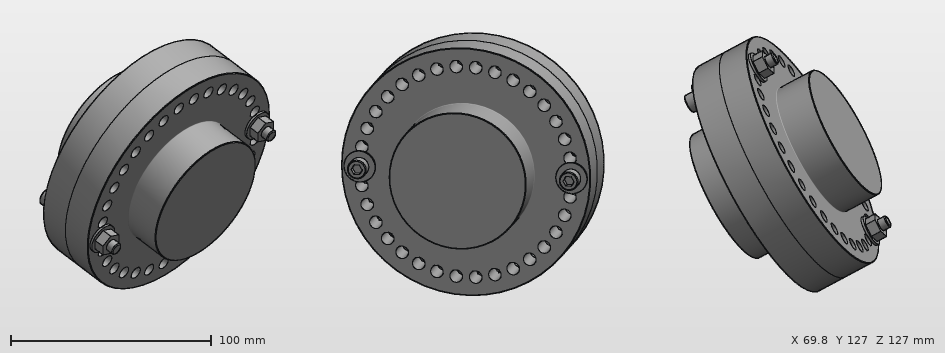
import cadquery as cq
import math

FLANGE_DIAMETER = 127.0
OVERALL_LENGTH = 69.8
FLANGE_THICKNESS = 15.9
BOSS_DIAMETER = 69.8
BOSS_LENGTH = OVERALL_LENGTH / 2 - FLANGE_THICKNESS
EDGE_CHAMFER = 0.4
BOSS_ROOT_FILLET = 0.4

BOLT_CIRCLE_DIAMETER = 108.0
LEFT_HOLE_COUNT = 34
RIGHT_HOLE_COUNT = 32
HOLE_DIAMETER = 6.4
BOLT_POSITIONS = (-BOLT_CIRCLE_DIAMETER / 2, BOLT_CIRCLE_DIAMETER / 2)

WASHER_DIAMETER = 15.9
WASHER_THICKNESS = 1.3
SHANK_DIAMETER = HOLE_DIAMETER
SHANK_END_X = 26.9
SHANK_CHAMFER = 0.5
HEAD_DIAMETER = 9.5
HEAD_HEIGHT = 6.4
HEAD_CHAMFER = 0.5
SOCKET_ACROSS_FLATS = 4.8
SOCKET_DEPTH = 3.2
NUT_ACROSS_FLATS = 11.0
NUT_THICKNESS = 5.5

WASHER_OUTER_X = FLANGE_THICKNESS + WASHER_THICKNESS


def hex_diameter(across_flats):
    """Diameter across the corners of a regular hexagon."""
    return across_flats / math.cos(math.pi / 6)


def x_plane(x, y=0):
    """Sketch plane facing +X, with local x along Y and local y along Z."""
    return cq.Workplane("YZ", origin=(x, y, 0))


def make_hub(hole_count):
    """Flange with a coaxial boss, extending toward +X from the joint plane."""
    flange = (
        x_plane(0)
        .circle(FLANGE_DIAMETER / 2)
        .extrude(FLANGE_THICKNESS)
        .faces(">X")
        .edges()
        .chamfer(EDGE_CHAMFER)
    )
    boss = (
        x_plane(FLANGE_THICKNESS)
        .circle(BOSS_DIAMETER / 2)
        .extrude(BOSS_LENGTH)
        .faces(">X")
        .edges()
        .chamfer(EDGE_CHAMFER)
    )
    holes = (
        x_plane(0)
        .polarArray(BOLT_CIRCLE_DIAMETER / 2, 0, 360, hole_count)
        .circle(HOLE_DIAMETER / 2)
        .extrude(FLANGE_THICKNESS)
    )
    root_zone = cq.selectors.BoxSelector(
        (FLANGE_THICKNESS - BOSS_ROOT_FILLET, -BOSS_DIAMETER, -BOSS_DIAMETER),
        (FLANGE_THICKNESS + BOSS_ROOT_FILLET, BOSS_DIAMETER, BOSS_DIAMETER),
    )
    body = flange.union(boss)
    root_edge = body.edges(root_zone).edges(cq.selectors.RadiusNthSelector(0))
    return root_edge.fillet(BOSS_ROOT_FILLET).cut(holes)


def make_washer(inner_x, y):
    """Flat washer around a screw shank, its lower-X face at inner_x."""
    return (
        x_plane(inner_x, y)
        .circle(WASHER_DIAMETER / 2)
        .circle(SHANK_DIAMETER / 2)
        .extrude(WASHER_THICKNESS)
    )


def make_screw(y):
    """Socket head cap screw along X, its head on the -X side."""
    head = (
        x_plane(-WASHER_OUTER_X, y)
        .circle(HEAD_DIAMETER / 2)
        .extrude(-HEAD_HEIGHT)
        .faces("<X")
        .edges()
        .chamfer(HEAD_CHAMFER)
    )
    shank = (
        x_plane(-WASHER_OUTER_X, y)
        .circle(SHANK_DIAMETER / 2)
        .extrude(WASHER_OUTER_X + SHANK_END_X)
        .faces(">X")
        .edges()
        .chamfer(SHANK_CHAMFER)
    )
    socket = (
        x_plane(-WASHER_OUTER_X - HEAD_HEIGHT, y)
        .polygon(6, hex_diameter(SOCKET_ACROSS_FLATS))
        .extrude(SOCKET_DEPTH)
    )
    return head.union(shank).cut(socket)


def make_nut(y):
    """Hexagon nut on the +X side, with two corners pointing along Z."""
    blank = (
        x_plane(WASHER_OUTER_X, y)
        .transformed(rotate=(0, 0, 90))
        .polygon(6, hex_diameter(NUT_ACROSS_FLATS))
        .extrude(NUT_THICKNESS)
    )
    bore = x_plane(WASHER_OUTER_X, y).circle(SHANK_DIAMETER / 2).extrude(NUT_THICKNESS)
    return blank.cut(bore)


right_hub = make_hub(RIGHT_HOLE_COUNT)
left_hub = make_hub(LEFT_HOLE_COUNT).mirror("YZ")

screws = []
washers = []
nuts = []
for bolt_y in BOLT_POSITIONS:
    screws.append(make_screw(bolt_y).val())
    nuts.append(make_nut(bolt_y).val())
    for washer_x in (-WASHER_OUTER_X, FLANGE_THICKNESS):
        washers.append(make_washer(washer_x, bolt_y).val())

result = cq.Compound.makeCompound([left_hub.val(), right_hub.val(), *screws, *washers, *nuts])